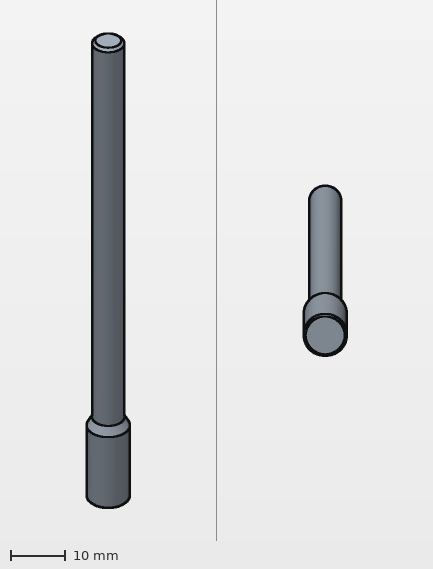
import cadquery as cq

total_length = 101.0
head_diameter = 8.0
shank_diameter = 6.0
head_length = 17.8
barrel_top = 16.0
head_chamfer = 0.4
shank_chamfer = 0.6

shank_length = total_length - head_length


def make_head():
    """Thick cylinder whose conical shoulder narrows to the shank diameter."""
    head_radius = head_diameter / 2
    profile = (
        cq.Workplane("XZ")
        .lineTo(head_radius - head_chamfer, 0)
        .lineTo(head_radius, head_chamfer)
        .lineTo(head_radius, barrel_top)
        .lineTo(shank_diameter / 2, head_length)
        .lineTo(0, head_length)
        .close()
    )
    return profile.revolve(360, (0, 0, 0), (0, 1, 0))


def make_shank():
    """Long rod seated on the top face of the head, chamfered at its free end."""
    rod = cq.Workplane("XY", origin=(0, 0, head_length)).circle(shank_diameter / 2).extrude(shank_length)
    return rod.faces(">Z").chamfer(shank_chamfer)


head = make_head()
shank = make_shank()

result = cq.Compound.makeCompound([head.val(), shank.val()])